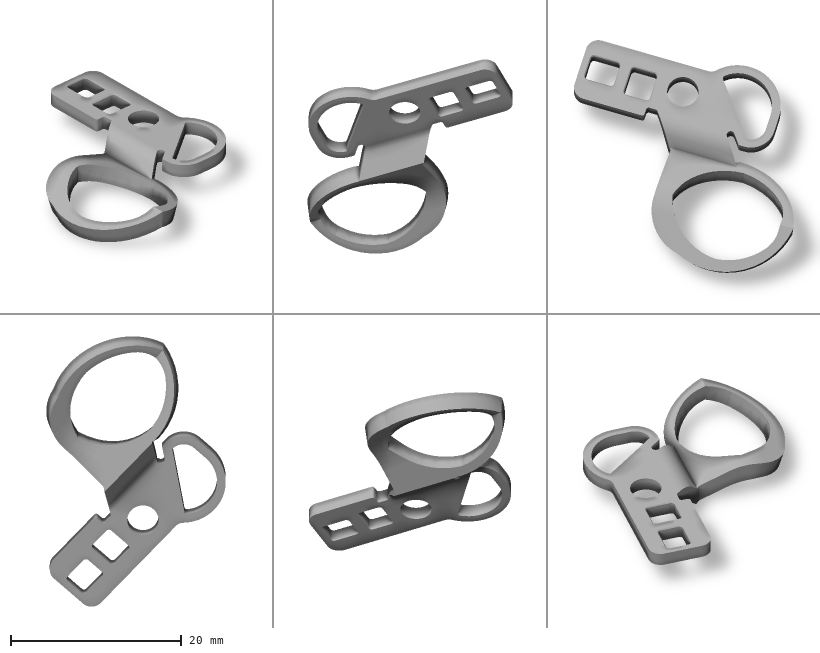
import cadquery as cq
import math


plate_height = 7.6
plate_thickness = 1.65
plate_corner_radius = 1.5
plate_lower_length = 8.95
hole_diameter = 3.65
hole_x, hole_y = 12.4, 4.25
window_corner_radius = 0.55
window_chamfer = 0.12
window_top = 5.63
windows = ((0.75, 3.78, 3.25), (5.7, 3.37, 3.75))

loop_wall = 1.0
loop_x, loop_y = 19.0, 4.47
loop_radius = 5.05
loop_foot_radius = 2.83
loop_foot_y = 2.62
loop_foot_x = loop_x + loop_radius - loop_foot_radius
loop_blend_radius = 1.2
opening_top_left = (16.27, 7.35)
opening_corner_radius = 0.3

slant = 3 / 4
slant_length = math.hypot(1, slant)
notch_depth = 1.2
notch_left_radius = 0.3
neck_left_x = 10.2
neck_right_x = 18.4
slot_width = 0.92
slot_right_y = 1.0
slot_right_x = neck_right_x + slot_width * slant_length
neck_side_x = 12.95

bend_y = 0.71
bend_angle = math.radians(46.5)
bend_outer_radius = 2.6
bend_inner_radius = bend_outer_radius - plate_thickness

ridge_y = -8.4
ridge_z = 0.2
roof_angle = math.radians(18.7)
roof_thickness = 2.05
roof_slope = math.tan(roof_angle)
ridge_under_z = ridge_z - roof_thickness / math.cos(roof_angle)
ridge_upper_radius = 6.85
ridge_under_radius = 8.05
ridge_round_end_x = 21.45

ring_tip_x = 29.8
ring_center_x = 21.2
ring_half_height = 7.4
ring_half_width = ring_tip_x - ring_center_x
ring_radius = (ring_half_width**2 + ring_half_height**2) / (2 * ring_half_height)

ring_arc_mid_x = 26.8
ring_arc_end_x = 17.45
ring_heel_mid = (14.42, -4.77)
ring_heel_end = -0.77
ring_neck_corners = ((18.47, 6.25), (neck_side_x, 5.95))
hole_left_x, hole_right_x = 15.0, 28.18
hole_arcs = (
    ((17.75, 4.35), (22.0, 5.93)),
    ((24.95, 5.05), (27.32, 3.15)),
    ((27.97, 2.0), (hole_right_x, 0.75)),
)
hole_flare = 5.5

overlap = 2.38
reach = 17.87


def ring_height(x):
    """Half height of the ring's outer arc at x."""
    return ring_half_height - ring_radius + math.sqrt(ring_radius**2 - (x - ring_center_x)**2)


def slanted(x_at_notch, y):
    """Point at height y on a slanted line that passes x_at_notch at the notch depth."""
    return (x_at_notch + (notch_depth - y) * slant, y)


def loop_outline(wall_offset):
    """Outer loop boundary from its top, clockwise to its foot, moved inward by wall_offset."""
    radius = loop_radius - wall_offset
    foot_radius = loop_foot_radius - wall_offset
    diagonal = math.sqrt(0.5)
    return (
        cq.Workplane("XY")
        .moveTo(loop_x, loop_y + radius)
        .threePointArc((loop_x + radius * diagonal, loop_y + radius * diagonal), (loop_x + radius, loop_y))
        .lineTo(loop_x + radius, loop_foot_y)
        .threePointArc(
            (loop_foot_x + foot_radius * diagonal, loop_foot_y - foot_radius * diagonal),
            (loop_foot_x, loop_foot_y - foot_radius),
        )
    )


def make_plate():
    blend_center_y = plate_height + loop_blend_radius
    center_gap = loop_radius + loop_blend_radius
    blend_x = loop_x - math.sqrt(center_gap**2 - (blend_center_y - loop_y)**2)
    share = loop_radius / center_gap
    blend_end = (
        loop_x + (blend_x - loop_x) * share,
        loop_y + (blend_center_y - loop_y) * share,
    )
    blend_mid_angle = (math.atan2(blend_end[1] - blend_center_y, blend_end[0] - blend_x) - math.pi / 2) / 2
    blend_mid = (
        blend_x + loop_blend_radius * math.cos(blend_mid_angle),
        blend_center_y + loop_blend_radius * math.sin(blend_mid_angle),
    )
    loop_side = (math.pi / 2 + math.atan2(blend_end[1] - loop_y, blend_end[0] - loop_x)) / 2
    loop_mid = (loop_x + loop_radius * math.cos(loop_side), loop_y + loop_radius * math.sin(loop_side))
    loop_foot_bottom = loop_foot_y - loop_foot_radius
    slot_round = slot_width / 2
    slot_right = slanted(slot_right_x, slot_right_y)
    across = (slot_width / slant_length, slot_width * slant / slant_length)
    slot_left = (slot_right[0] - across[0], slot_right[1] - across[1])
    slot_end = (
        (slot_left[0] + slot_right[0]) / 2 - slot_round * slant / slant_length,
        (slot_left[1] + slot_right[1]) / 2 + slot_round / slant_length,
    )
    body = (
        loop_outline(0)
        .lineTo(*slanted(slot_right_x, loop_foot_bottom))
        .lineTo(*slot_right)
        .threePointArc(slot_end, slot_left)
        .lineTo(*slanted(neck_left_x, slot_left[1]))
        .lineTo(neck_left_x, notch_depth)
        .lineTo(plate_lower_length, notch_depth)
        .lineTo(plate_lower_length, 0)
        .lineTo(0, 0)
        .lineTo(0, plate_height)
        .lineTo(blend_x, plate_height)
        .threePointArc(blend_mid, blend_end)
        .threePointArc(loop_mid, (loop_x, loop_y + loop_radius))
        .close()
        .extrude(-plate_thickness)
    )
    neck_zone_y = -0.3
    neck_zone = (
        cq.Workplane("XY")
        .polyline([slanted(neck_left_x, y) for y in (bend_y, neck_zone_y)]
                  + [slanted(neck_right_x + slot_width / 2, y) for y in (neck_zone_y, bend_y)])
        .close()
        .extrude(-plate_thickness)
    )
    body = body.cut(neck_zone)
    body = body.edges("|Z and <X").fillet(plate_corner_radius)
    for x, y in ((plate_lower_length, notch_depth), (neck_left_x, notch_depth), (plate_lower_length, 0)):
        corner = cq.selectors.NearestToPointSelector((x, y, -plate_thickness / 2))
        body = body.edges("|Z").edges(corner).fillet(notch_left_radius)
    return body


def make_loop_opening():
    opening = loop_outline(loop_wall).lineTo(*opening_top_left)
    dx = loop_x - opening_top_left[0]
    inner_radius = loop_radius - loop_wall
    side = math.pi / 2 + math.asin(dx / inner_radius) / 2
    opening = opening.threePointArc(
        (loop_x + inner_radius * math.cos(side), loop_y + inner_radius * math.sin(side)),
        (loop_x, loop_y + inner_radius),
    )
    opening = opening.close().extrude(-plate_thickness)
    return opening.edges("|Z and <X").fillet(opening_corner_radius)


def make_window(left, width, height):
    center = (left + width / 2, window_top - height / 2)
    inner = (
        cq.Workplane("XY").center(*center)
        .rect(width - 2 * window_chamfer, height - 2 * window_chamfer)
        .extrude(-plate_thickness)
        .edges("|Z").fillet(window_corner_radius - window_chamfer)
    )
    mouth = (
        cq.Workplane("XY").center(*center)
        .sketch().rect(width, height).vertices().fillet(window_corner_radius).finalize()
        .extrude(-window_chamfer, taper=45)
    )
    return inner.union(mouth)


def roof_profile(upper_start, under_start):
    """Side outline of the roof band, from two points on the +Y side to beyond the ring."""
    far_y = ridge_y - reach
    return (
        cq.Workplane("YZ")
        .moveTo(*upper_start)
        .lineTo(ridge_y, ridge_z)
        .lineTo(far_y, ridge_z - reach * roof_slope)
        .lineTo(far_y, ridge_under_z - reach * roof_slope)
        .lineTo(ridge_y, ridge_under_z)
        .lineTo(*under_start)
    )


def make_roof():
    """Band of roof section: rounded ridge on the left, sharp ridge on the right."""
    upper_start, under_start = [
        (ridge_y + reach, z - reach * roof_slope) for z in (ridge_z, ridge_under_z)
    ]
    sharp = roof_profile(upper_start, under_start).close().extrude(ring_tip_x)
    rounded = sharp
    for z, radius in ((ridge_z, ridge_upper_radius), (ridge_under_z, ridge_under_radius)):
        ridge = cq.selectors.NearestToPointSelector((ring_tip_x / 2, ridge_y, z))
        rounded = rounded.edges("|X").edges(ridge).fillet(radius)
    left = cq.Workplane("XY").box(2 * ridge_round_end_x, 4 * reach, 4 * reach)
    return rounded.intersect(left).union(sharp.cut(left))


def bend_point(radius, angle):
    """Side-view point on the bend, which curves about a line below the plate."""
    return (bend_y - radius * math.sin(angle), radius * math.cos(angle) - bend_outer_radius)


def valley_point(radius, apex_z):
    """Where the straight flank after the bend meets a sloping face of the roof."""
    start_y, start_z = bend_point(radius, bend_angle)
    flank_slope = math.tan(bend_angle)
    face_z = apex_z - (start_y - ridge_y) * roof_slope
    drop = (start_z - face_z) / (flank_slope + roof_slope)
    return (start_y - drop, start_z - drop * flank_slope)


def make_neck(roof):
    upper_valley = valley_point(bend_outer_radius, ridge_z)
    under_valley = valley_point(bend_inner_radius, ridge_under_z)
    bend_side = (
        cq.Workplane("YZ")
        .moveTo(bend_y, 0)
        .threePointArc(
            bend_point(bend_outer_radius, bend_angle / 2),
            bend_point(bend_outer_radius, bend_angle),
        )
        .lineTo(*upper_valley)
        .lineTo(*under_valley)
        .lineTo(*bend_point(bend_inner_radius, bend_angle))
        .threePointArc(bend_point(bend_inner_radius, bend_angle / 2), (bend_y, -plate_thickness))
        .close()
        .extrude(ring_tip_x)
    )
    roof_side = (
        cq.Workplane("YZ")
        .polyline([upper_valley, under_valley, (under_valley[0], -reach),
                   (ridge_y, -reach), (ridge_y, reach), (upper_valley[0], reach)])
        .close()
        .extrude(ring_tip_x)
    )
    corner_y = notch_depth - (neck_side_x - neck_left_x) / slant
    footprint = (
        cq.Workplane("XY").workplane(offset=-reach / 2)
        .polyline([
            slanted(neck_left_x, bend_y),
            (neck_side_x, corner_y),
            (neck_side_x, ridge_y),
            (ring_center_x, ridge_y),
            slanted(neck_right_x, upper_valley[0]),
            slanted(neck_right_x, bend_y),
        ])
        .close()
        .extrude(reach)
    )
    return bend_side.union(roof.intersect(roof_side)).intersect(footprint)


def ring_half(side, outline, flare=0):
    """Prism of an outline square to one sloping face, kept on its own side of the ridge.

    side is 1 for the +Y face and -1 for the -Y face. The prism widens downward by flare degrees.
    """
    plane = cq.Plane(
        origin=(0, ridge_y, ridge_z),
        xDir=(1, 0, 0),
        normal=(0, side * math.sin(roof_angle), math.cos(roof_angle)),
    )
    prism = outline(cq.Workplane(plane), side).close().extrude(-reach / 4, taper=-flare)
    keep = cq.Workplane("XY").box(4 * reach, reach, 4 * reach).translate((0, ridge_y + side * reach / 2, 0))
    return prism.intersect(keep)


def ring_outline(wp, side):
    start = (
        wp.moveTo(neck_side_x, -side * overlap)
        .lineTo(ring_tip_x, -side * overlap)
        .lineTo(ring_tip_x, 0)
    )
    arc_mid = (ring_arc_mid_x, side * ring_height(ring_arc_mid_x))
    if side > 0:
        outline = start.threePointArc(arc_mid, (ring_center_x, ring_half_height))
        for corner in ring_neck_corners:
            outline = outline.lineTo(*corner)
        return outline
    return (
        start.threePointArc(arc_mid, (ring_arc_end_x, -ring_height(ring_arc_end_x)))
        .threePointArc(ring_heel_mid, (neck_side_x, ring_heel_end))
    )


def ring_hole_outline(wp, side):
    outline = wp.moveTo(hole_left_x, -side * overlap).lineTo(hole_left_x, 0)
    for (mid_x, mid_height), (end_x, end_height) in hole_arcs:
        outline = outline.threePointArc((mid_x, side * mid_height), (end_x, side * end_height))
    return outline.lineTo(hole_right_x, -side * overlap)


roof = make_roof()
result = make_plate().union(make_neck(roof))
for side in (1, -1):
    result = result.union(ring_half(side, ring_outline).intersect(roof))
for side in (1, -1):
    result = result.cut(ring_half(side, ring_hole_outline, hole_flare))

result = result.cut(make_loop_opening())
result = result.cut(
    cq.Workplane("XY").center(hole_x, hole_y).circle(hole_diameter / 2).extrude(-plate_thickness)
)
for left, width, height in windows:
    result = result.cut(make_window(left, width, height))